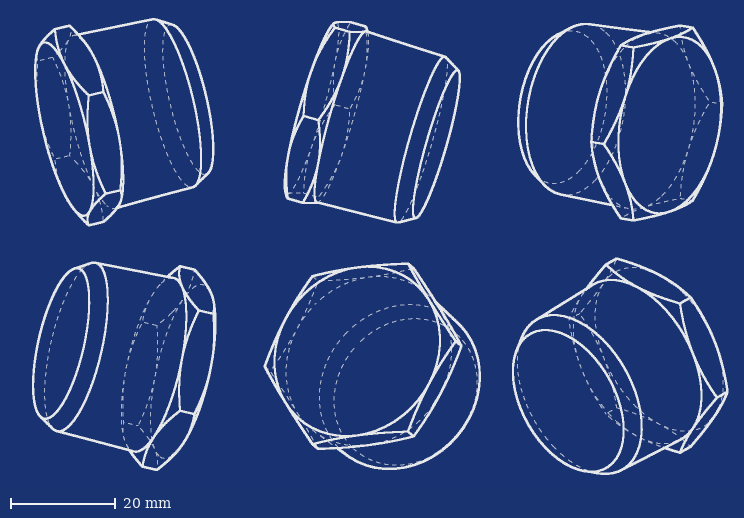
import cadquery as cq
import math

HEAD_SIDES = 6
ACROSS_FLATS = 34.0
HEAD_HEIGHT = 6.0
TOTAL_LENGTH = 25.0
CHAMFER_ANGLE = math.radians(30)

SHANK_BASE_DIAMETER = 34.0
SHANK_TAPER = 1 / 16
LEAD_IN_LENGTH = 3.1

flat_radius = ACROSS_FLATS / 2
corner_radius = flat_radius / math.cos(math.pi / HEAD_SIDES)
corner_drop = (corner_radius - flat_radius) * math.tan(CHAMFER_ANGLE)

shank_base_radius = SHANK_BASE_DIAMETER / 2
lead_in_start = TOTAL_LENGTH - LEAD_IN_LENGTH
lead_in_radius = shank_base_radius - (lead_in_start - HEAD_HEIGHT) * SHANK_TAPER / 2
tip_radius = lead_in_radius - LEAD_IN_LENGTH * math.tan(CHAMFER_ANGLE)


def revolve_about_y(points):
    """Turn an outline of (y, radius) points, drawn above the Y axis, about that axis."""
    outline = cq.Workplane("YZ").polyline(points).close()
    return outline.revolve(360, (0, 0, 0), (1, 0, 0))


def make_head():
    """Hexagon with corners on the X axis, both faces chamfered by cones."""
    prism = (
        cq.Workplane("XZ")
        .polygon(HEAD_SIDES, 2 * corner_radius)
        .extrude(-HEAD_HEIGHT)
    )
    double_cone = revolve_about_y([
        (0, 0),
        (0, flat_radius),
        (corner_drop, corner_radius),
        (HEAD_HEIGHT - corner_drop, corner_radius),
        (HEAD_HEIGHT, flat_radius),
        (HEAD_HEIGHT, 0),
    ])
    return prism.intersect(double_cone)


def make_shank():
    """Tapered shank with a conical lead-in at its tip."""
    return revolve_about_y([
        (HEAD_HEIGHT, 0),
        (HEAD_HEIGHT, shank_base_radius),
        (lead_in_start, lead_in_radius),
        (TOTAL_LENGTH, tip_radius),
        (TOTAL_LENGTH, 0),
    ])


result = make_head().union(make_shank())